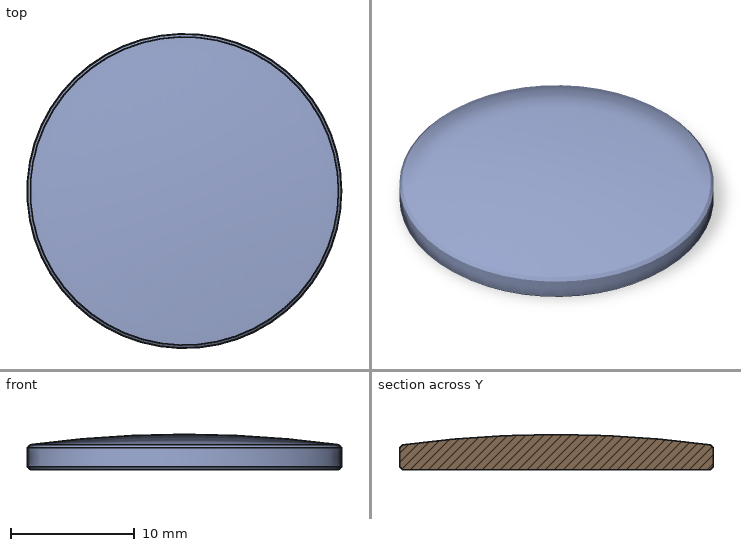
import cadquery as cq

diameter = 25.4
center_thickness = 2.87
cap_height = 0.85
bevel = 0.25

radius = diameter / 2
cap_radius = radius - bevel
edge_thickness = center_thickness - cap_height
sphere_radius = (cap_radius**2 + cap_height**2) / (2 * cap_height)

arc_mid_x = cap_radius / 2
arc_mid_z = center_thickness - sphere_radius + (sphere_radius**2 - arc_mid_x**2) ** 0.5

half_section = (
    cq.Workplane("XZ")
    .lineTo(cap_radius, 0)
    .lineTo(radius, bevel)
    .lineTo(radius, edge_thickness - bevel)
    .lineTo(cap_radius, edge_thickness)
    .threePointArc((arc_mid_x, arc_mid_z), (0, center_thickness))
    .close()
)

result = half_section.revolve(360, (0, 0), (0, 1))